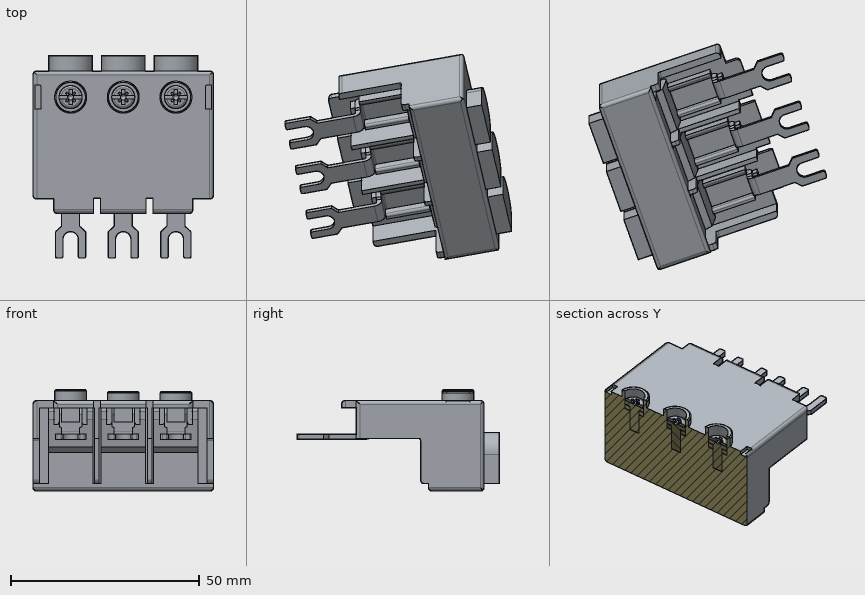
import cadquery as cq
import math


POLE_PITCH = 14.0
POLE_XS = [-POLE_PITCH, 0.0, POLE_PITCH]

HOUSING_WIDTH = 48.0
HOUSING_HEIGHT = 24.1
WALL = 1.8
PLATE = 2.0
FOOT_DEPTH = 14.8
LEG_DEPTH = 16.9
ARM_DEPTH = 34.0
ARM_BOTTOM = 14.0
EDGE_RADIUS = 1.0
LEG_CORNER_RADIUS = 0.95
ARM_CORNER_RADIUS = 0.5
HALF_WIDTH = HOUSING_WIDTH / 2
INNER_WIDTH = HOUSING_WIDTH - 2 * WALL
ROOF = HOUSING_HEIGHT - PLATE
CAVITY_BACK = FOOT_DEPTH - PLATE

OVERHANG_WIDTH = 37.0
OVERHANG_DEPTH = 37.9
NOTCH_WIDTH = 1.8
PARTITION_WIDTH = 1.2
PARTITION_DEPTH = 33.85
PARTITION_XS = [-POLE_PITCH / 2, POLE_PITCH / 2]

BLOCK_WIDTH = 11.8
BLOCK_STEP_Z = 10.3
BLOCK_NOSE_Z = 11.7
BLOCK_NOSE_DEPTH = 16.7
BLOCK_FRONT_DEPTH = 17.6
BLOCK_FRONT_Z = 19.05
BLOCK_TOP_RADIUS = 1.6
BLOCK_ROUND_Z = 21.2

SLOT_WIDTH = 1.6
SLOT_LENGTH = 6.4
SLOT_BACK_DEPTH = 3.7
SLOT_INSET = 0.6
SLOT_CUT = 1.0
SLOT_CORNER_RADIUS = 0.55

BOSS_WIDTH = 11.6
BOSS_LENGTH = 4.1
BOSS_TOP = 15.6

SCREW_DEPTH = 6.95
COLLAR_DIAMETER = 8.5
COLLAR_TOPS = [27.0, 26.45, 26.45]
COLLAR_CHAMFER = 0.3
HEAD_DIAMETER = 6.15

STRAP_THICKNESS = 1.4
STRAP_WIDTH = 6.0
STRAP_BACK_DEPTH = 3.5
STRAP_FRONT_DEPTH = 30.9
UPPER_BEND_RADIUS = 1.8
LOWER_BEND_RADIUS = 2.0
NECK_WIDTH = 4.85
SHOULDER_Z = 17.15
SHOULDER_DROP = 0.3
FORK_BOTTOM = 13.75
FORK_WIDTH = 8.05
FORK_TIP_DEPTH = 49.7
FLARE_START_DEPTH = 41.2
FLARE_END_DEPTH = 42.7
FORK_SLOT_WIDTH = 4.05
TINE_RADIUS = 0.5

RIB_BOTTOM = 18.35
RIB_DEPTH = 32.2
CHEEK_BOTTOM = 17.7
CHEEK_SPAN = 8.75
CHEEK_CORNER_RADIUS = 0.7

HEAD_TOP = 24.1
HEAD_ROUNDING = 0.6
SHANK_DIAMETER = 3.0
SHANK_BOTTOM = 14.5
DRIVE_DEPTH = 0.75
DRIVE_SLOT_WIDTH = 0.95
CROSS_LENGTH = 3.95
TICK_LENGTH = 3.35
TICK_WIDTH = 0.5
TICK_DEPTH = 0.45
TIP_DIAMETER = 1.55
TIP_DEPTH = 0.75


def box(x_center, width, back_depth, front_depth, bottom, top):
    """A box given by its centre and width in X, its depth range and its height range."""
    corner = (x_center - width / 2, -front_depth, bottom)
    return cq.Workplane("XY").box(
        width, front_depth - back_depth, top - bottom, centered=False
    ).translate(corner)


def side_profile(x_center, width):
    """A workplane on the YZ plane, placed so that extruding by width is centred on x_center."""
    return cq.Workplane("YZ", origin=(x_center - width / 2, 0, 0))


def make_shell():
    """Rounded side, front and plan outlines meet in mitred corners; the cavity is then cut out."""
    side = (
        side_profile(0, HOUSING_WIDTH)
        .moveTo(-EDGE_RADIUS, 0)
        .lineTo(-FOOT_DEPTH + EDGE_RADIUS, 0)
        .radiusArc((-FOOT_DEPTH, EDGE_RADIUS), EDGE_RADIUS)
        .lineTo(-FOOT_DEPTH, PLATE)
        .lineTo(-LEG_DEPTH + LEG_CORNER_RADIUS, PLATE)
        .radiusArc((-LEG_DEPTH, PLATE + LEG_CORNER_RADIUS), LEG_CORNER_RADIUS)
        .lineTo(-LEG_DEPTH, ARM_BOTTOM - ARM_CORNER_RADIUS)
        .radiusArc((-LEG_DEPTH - ARM_CORNER_RADIUS, ARM_BOTTOM), -ARM_CORNER_RADIUS)
        .lineTo(-ARM_DEPTH, ARM_BOTTOM)
        .lineTo(-ARM_DEPTH, HOUSING_HEIGHT)
        .lineTo(-EDGE_RADIUS, HOUSING_HEIGHT)
        .radiusArc((0, HOUSING_HEIGHT - EDGE_RADIUS), EDGE_RADIUS)
        .lineTo(0, EDGE_RADIUS)
        .radiusArc((-EDGE_RADIUS, 0), EDGE_RADIUS)
        .close()
        .extrude(HOUSING_WIDTH)
    )
    envelope = box(0, HOUSING_WIDTH, 0, ARM_DEPTH, 0, HOUSING_HEIGHT)
    shell = (
        side.intersect(envelope.edges("|Y").fillet(EDGE_RADIUS))
        .intersect(envelope.edges("|Z").fillet(EDGE_RADIUS))
    )
    return shell.cut(box(0, INNER_WIDTH, CAVITY_BACK, ARM_DEPTH, PLATE, ROOF))


def make_overhang():
    overhang = box(0, OVERHANG_WIDTH, CAVITY_BACK, OVERHANG_DEPTH, ROOF, HOUSING_HEIGHT)
    front = overhang.faces("<Y")
    return front.edges("|Z").add(front.edges(">Z")).fillet(EDGE_RADIUS)


def make_partition(x):
    partition = box(x, PARTITION_WIDTH, CAVITY_BACK, PARTITION_DEPTH, ARM_BOTTOM, ROOF)
    leg = box(x, PARTITION_WIDTH, CAVITY_BACK, LEG_DEPTH, PLATE, ARM_BOTTOM)
    leg = leg.faces("<Z").edges("<Y").fillet(LEG_CORNER_RADIUS)
    return partition.union(leg)


def make_block(x):
    round_drop = ROOF - BLOCK_ROUND_Z
    round_setback = BLOCK_TOP_RADIUS - math.sqrt(BLOCK_TOP_RADIUS**2 - round_drop**2)
    return (
        side_profile(x, BLOCK_WIDTH)
        .moveTo(-CAVITY_BACK, PLATE)
        .lineTo(-FOOT_DEPTH, PLATE)
        .lineTo(-FOOT_DEPTH, BLOCK_STEP_Z)
        .lineTo(-BLOCK_NOSE_DEPTH, BLOCK_NOSE_Z)
        .lineTo(-BLOCK_FRONT_DEPTH, BLOCK_FRONT_Z)
        .lineTo(-BLOCK_FRONT_DEPTH, BLOCK_ROUND_Z)
        .radiusArc((-BLOCK_FRONT_DEPTH + round_setback, ROOF), BLOCK_TOP_RADIUS)
        .lineTo(-CAVITY_BACK, ROOF)
        .close()
        .extrude(BLOCK_WIDTH)
    )


def make_strap_guides(x):
    """The rib in front of the strap and the two cheeks beside its upper bend, as a list."""
    rib = box(x, NECK_WIDTH, STRAP_FRONT_DEPTH, RIB_DEPTH, RIB_BOTTOM, ROOF)
    guides = [rib]
    cheek_width = (CHEEK_SPAN - STRAP_WIDTH) / 2
    for side in (-1, 1):
        cheek = box(
            x + side * (CHEEK_SPAN - cheek_width) / 2, cheek_width,
            BLOCK_FRONT_DEPTH, STRAP_FRONT_DEPTH - STRAP_THICKNESS, CHEEK_BOTTOM, ROOF,
        )
        inner_face = "<X" if side > 0 else ">X"
        guides.append(cheek.faces("<Z").edges(inner_face).fillet(CHEEK_CORNER_RADIUS))
    return guides


def make_lid_slot(side):
    """The slot cutter on the left (-1) or right (+1); its rear inner corner is rounded."""
    slot = box(
        side * (HALF_WIDTH - SLOT_INSET - SLOT_WIDTH / 2), SLOT_WIDTH,
        SLOT_BACK_DEPTH, SLOT_BACK_DEPTH + SLOT_LENGTH,
        HOUSING_HEIGHT - SLOT_CUT, HOUSING_HEIGHT,
    )
    inner_face = "<X" if side > 0 else ">X"
    return slot.faces(inner_face).edges(">Y").fillet(SLOT_CORNER_RADIUS)


def make_boss(x):
    radius = BOSS_WIDTH / 2
    shoulder = BOSS_TOP - radius
    return (
        cq.Workplane("XZ")
        .moveTo(x - radius, PLATE)
        .lineTo(x - radius, shoulder)
        .threePointArc((x, BOSS_TOP), (x + radius, shoulder))
        .lineTo(x + radius, PLATE)
        .close()
        .extrude(-BOSS_LENGTH)
    )


def cylinder(x, diameter, bottom, top):
    """An upright cylinder on the screw axis of the pole at x."""
    return (
        cq.Workplane("XY", origin=(x, -SCREW_DEPTH, bottom))
        .circle(diameter / 2)
        .extrude(top - bottom)
    )


def make_strap(x):
    """The strap from under the screw down to the start of the fork."""
    front = -STRAP_FRONT_DEPTH
    inner_upper = UPPER_BEND_RADIUS - STRAP_THICKNESS
    inner_lower = LOWER_BEND_RADIUS - STRAP_THICKNESS
    upper_z = ROOF - UPPER_BEND_RADIUS
    lower_z = FORK_BOTTOM + LOWER_BEND_RADIUS
    fork_top = FORK_BOTTOM + STRAP_THICKNESS
    strap = (
        side_profile(x, STRAP_WIDTH)
        .moveTo(-STRAP_BACK_DEPTH, ROOF)
        .lineTo(front + UPPER_BEND_RADIUS, ROOF)
        .radiusArc((front, upper_z), -UPPER_BEND_RADIUS)
        .lineTo(front, lower_z)
        .radiusArc((front - inner_lower, fork_top), inner_lower)
        .lineTo(front - inner_lower, FORK_BOTTOM)
        .radiusArc((front + STRAP_THICKNESS, lower_z), -LOWER_BEND_RADIUS)
        .lineTo(front + STRAP_THICKNESS, upper_z)
        .radiusArc((front + UPPER_BEND_RADIUS, ROOF - STRAP_THICKNESS), inner_upper)
        .lineTo(-STRAP_BACK_DEPTH, ROOF - STRAP_THICKNESS)
        .close()
        .extrude(STRAP_WIDTH)
    )
    half_strap = STRAP_WIDTH / 2
    half_neck = NECK_WIDTH / 2
    neck_z = SHOULDER_Z - SHOULDER_DROP
    outline = (
        cq.Workplane("XZ")
        .polyline([
            (x - half_neck, FORK_BOTTOM),
            (x - half_neck, neck_z),
            (x - half_strap, SHOULDER_Z),
            (x - half_strap, ROOF),
            (x + half_strap, ROOF),
            (x + half_strap, SHOULDER_Z),
            (x + half_neck, neck_z),
            (x + half_neck, FORK_BOTTOM),
        ])
        .close()
        .extrude(FORK_TIP_DEPTH)
    )
    return strap.intersect(outline)


def make_fork(x):
    half_neck = NECK_WIDTH / 2
    half_fork = FORK_WIDTH / 2
    half_slot = FORK_SLOT_WIDTH / 2
    start = -(STRAP_FRONT_DEPTH + LOWER_BEND_RADIUS - STRAP_THICKNESS)
    slot_center = -(FLARE_END_DEPTH + half_slot)
    fork = (
        cq.Workplane("XY", origin=(x, 0, FORK_BOTTOM))
        .moveTo(-half_neck, start)
        .lineTo(-half_neck, -FLARE_START_DEPTH)
        .lineTo(-half_fork, -FLARE_END_DEPTH)
        .lineTo(-half_fork, -FORK_TIP_DEPTH)
        .lineTo(-half_slot, -FORK_TIP_DEPTH)
        .lineTo(-half_slot, slot_center)
        .threePointArc((0, -FLARE_END_DEPTH), (half_slot, slot_center))
        .lineTo(half_slot, -FORK_TIP_DEPTH)
        .lineTo(half_fork, -FORK_TIP_DEPTH)
        .lineTo(half_fork, -FLARE_END_DEPTH)
        .lineTo(half_neck, -FLARE_START_DEPTH)
        .lineTo(half_neck, start)
        .close()
        .extrude(STRAP_THICKNESS)
    )
    return fork.faces("<Y").edges("|Z").fillet(TINE_RADIUS)


def make_terminal(x):
    shank_hole = cylinder(x, SHANK_DIAMETER, SHANK_BOTTOM, ROOF)
    return make_strap(x).union(make_fork(x)).cut(shank_hole)


def make_housing():
    housing = make_shell().union(make_overhang())
    for x in PARTITION_XS:
        housing = housing.union(make_partition(x))
        housing = housing.cut(
            box(x, NOTCH_WIDTH, PARTITION_DEPTH, OVERHANG_DEPTH, ROOF, HOUSING_HEIGHT)
        )
    for side in (-1, 1):
        housing = housing.cut(make_lid_slot(side))
    for x, collar_top in zip(POLE_XS, COLLAR_TOPS):
        collar = cylinder(x, COLLAR_DIAMETER, ROOF, collar_top).faces(">Z").chamfer(COLLAR_CHAMFER)
        housing = housing.union(make_block(x)).union(make_boss(x)).union(collar)
        for guide in make_strap_guides(x):
            housing = housing.union(guide)
        housing = (
            housing.cut(make_strap(x))
            .cut(cylinder(x, HEAD_DIAMETER, ROOF, collar_top))
            .cut(cylinder(x, SHANK_DIAMETER, SHANK_BOTTOM, ROOF))
        )
    return housing


def drive_groove(x, length, width, depth, angle):
    """A straight groove across the screw head, turned by angle about the screw axis."""
    return (
        cq.Workplane("XY", origin=(x, -SCREW_DEPTH, HEAD_TOP - depth))
        .transformed(rotate=(0, 0, angle))
        .rect(length, width)
        .extrude(depth)
    )


def make_screw(x):
    head = cylinder(x, HEAD_DIAMETER, ROOF, HEAD_TOP).faces(">Z").edges().fillet(HEAD_ROUNDING)
    screw = head.union(cylinder(x, SHANK_DIAMETER, SHANK_BOTTOM, ROOF))
    screw = screw.cut(drive_groove(x, HEAD_DIAMETER, DRIVE_SLOT_WIDTH, DRIVE_DEPTH, 0))
    screw = screw.cut(drive_groove(x, CROSS_LENGTH, DRIVE_SLOT_WIDTH, DRIVE_DEPTH, 90))
    for angle in (45, 135):
        screw = screw.cut(drive_groove(x, TICK_LENGTH, TICK_WIDTH, TICK_DEPTH, angle))
    drive_floor = HEAD_TOP - DRIVE_DEPTH
    tip = cq.Solid.makeCone(
        0, TIP_DIAMETER / 2, TIP_DEPTH, pnt=cq.Vector(x, -SCREW_DEPTH, drive_floor - TIP_DEPTH)
    )
    return screw.cut(cq.Workplane(tip))


housing = make_housing()
terminals = [make_terminal(x) for x in POLE_XS]
screws = [make_screw(x) for x in POLE_XS]

result = cq.Compound.makeCompound([
    housing.solids().val(),
    *[terminal.solids().val() for terminal in terminals],
    *[screw.solids().val() for screw in screws],
])